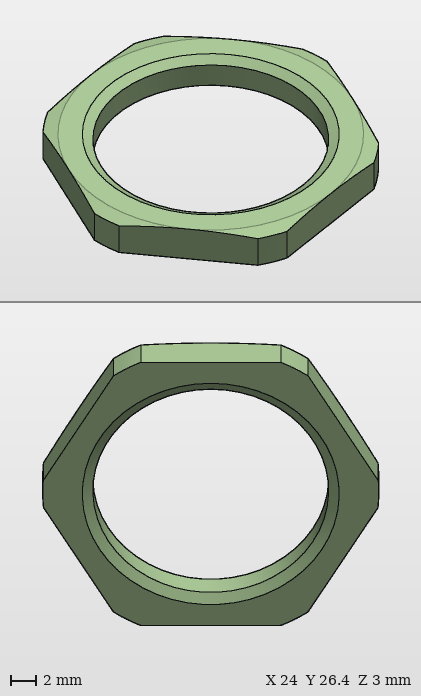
import cadquery as cq
import math

corner_diameter = 26.4
across_flats = 24.0
thickness = 3.0
bore_diameter = 18.5
countersink_diameter = 20.17
corner_bevel_angle = 15.0
countersink_angle = 30.0

hexagon_diameter = across_flats / math.cos(math.radians(30))
corner_radius = corner_diameter / 2
bore_radius = bore_diameter / 2
countersink_radius = countersink_diameter / 2
bevel_drop = (corner_radius - across_flats / 2) * math.tan(math.radians(corner_bevel_angle))
countersink_depth = (countersink_radius - bore_radius) * math.tan(math.radians(countersink_angle))


def revolve_about_z(profile):
    """Turn a closed (radius, height) outline into a solid around Z."""
    return cq.Workplane("XZ").polyline(profile).close().revolve(360, (0, 0), (0, 1))


hexagon = (
    cq.Workplane("XY")
    .polygon(6, hexagon_diameter)
    .extrude(thickness)
    .rotate((0, 0, 0), (0, 0, 1), 30)
)

envelope = revolve_about_z([
    (0, 0),
    (corner_radius, 0),
    (corner_radius, thickness - bevel_drop),
    (across_flats / 2, thickness),
    (0, thickness),
])

bore = revolve_about_z([
    (0, 0),
    (countersink_radius, 0),
    (bore_radius, countersink_depth),
    (bore_radius, thickness - countersink_depth),
    (countersink_radius, thickness),
    (0, thickness),
])

result = hexagon.intersect(envelope).cut(bore)